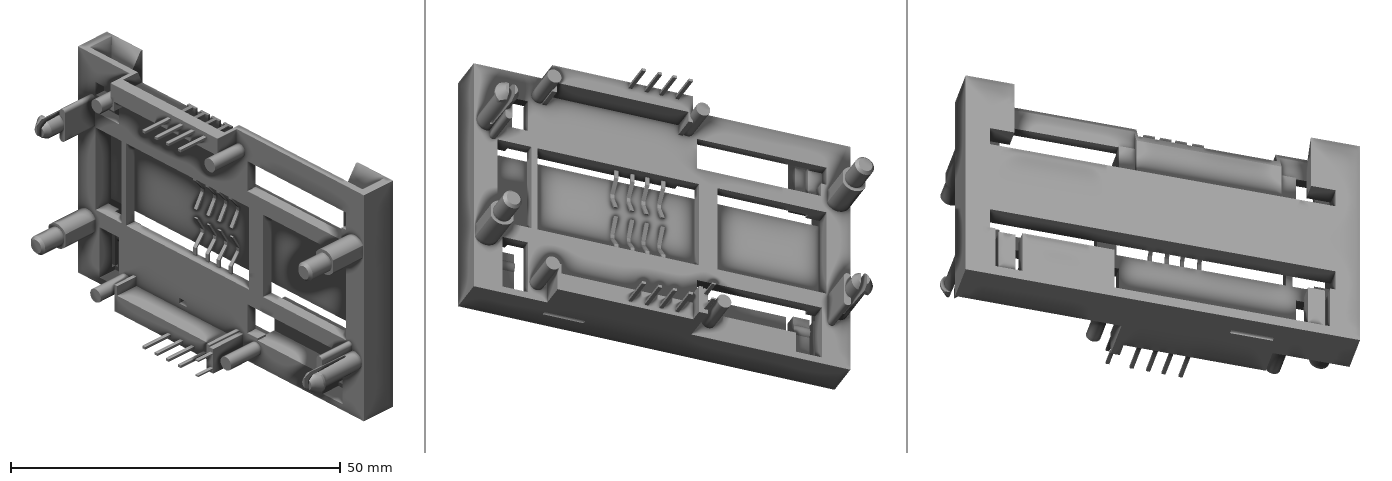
import cadquery as cq


BODY_WIDTH = 62.0
BODY_HEIGHT = 40.0
BODY_DEPTH = 6.2
TOP = BODY_HEIGHT / 2
BOTTOM = -TOP

SLOT_HALF_WIDTH = 27.2
RAIL_INNER = 24.75
PLATE_Y = 1.8
LEAD_IN_Y = 1.5
RAIL_Y = 2.7
CARD_BACK_Y = 3.35
WALL_BOTTOM = -18.2

MOUTH_HALF_WIDTH = 29.55
MOUTH_FRONT_Y = 1.1
MOUTH_BACK_Y = 5.85
FUNNEL_DEPTH = 3.75

NOTCH_HALF_WIDTH = 23.3
TAB_BOTTOM = 10.0
PANEL_HALF_HEIGHT = 6.7
LOWER_HALF_WIDTH = 26.3
BLOCK_LEFT, BLOCK_RIGHT = 7.6, 22.1
BLOCK_TOP = -10.45
BLOCK_FRONT_Y = 3.9
SILL_Z = -15.5

WINDOW_HALF_WIDTH = 27.1
MIDDLE_HALF_HEIGHT = 7.3
ROW_INNER = 10.0
ROW_OUTER = 15.3
LEFT_WINDOW_EDGE, CENTER_WINDOW_EDGE = -22.1, 5.7
THIN_BAR_LEFT, THIN_BAR_RIGHT = -21.5, -20.5
WIDE_BAR_LEFT, WIDE_BAR_RIGHT = 6.1, 9.15
STEP_X = 26.2
LEFT_STEP_Z, RIGHT_STEP_Z = 13.05, 12.25
FINGER_WINDOW_BOTTOM = -18.9
SILL_STEP_X = 7.95
SILL_STEP_Z = -15.1
SWITCH_HOLE_X = (-9.0, -7.4)
SWITCH_HOLE_Z = (-16.1, -15.2)
EXIT_LEFT, EXIT_RIGHT = -18.2, -11.5

FINGER_X = 24.3
FINGER_WIDTH = 2.7
FINGER_THICKNESS = 2.25
BUMP_TOP, BUMP_BOTTOM = -11.9, -13.6
BUMP_RISE = 0.4

CARRIER_LEFT, CARRIER_RIGHT = -19.8, 3.4
CARRIER_FRONT_Y = -4.1
CARRIER_HEIGHT = 3.0
CARRIER_LEG_WIDTH = 0.75
BACKING_INSET = 0.2
POCKET_LEFT, POCKET_RIGHT = -19.1, 2.8
POCKET_FRONT_Y = -2.05
POCKET_DEPTH = 2.2
LOWER_LEFT = -18.9
LOWER_END_WALL = 0.6
LOWER_LEG_HEIGHT = 4.65
SWITCH_RIGHT = 4.85
SWITCH_HEIGHT = 4.35

CONTACT_X = (-6.95, -4.3, -1.85, 0.75)
CONTACT_WIDTH = 0.6
CONTACT_THICKNESS = 0.3
CONTACT_BASE_Y, CONTACT_TOUCH_Y, CONTACT_TIP_Y = 1.25, 2.85, 1.4
CONTACT_BEND_Z, CONTACT_TOUCH_TOP, CONTACT_TOUCH_BOTTOM, CONTACT_TIP_Z = 5.9, 3.9, 3.3, 0.8
CONTACT_ROOT_LENGTH = 0.6
PIN_HEIGHT = 0.45
PIN_Z = 19.1
PIN_END_Y = -9.6
PIN_START_Y = 1.0
CROSSBAR_WIDTH = 1.8
CROSSBAR_DEPTH = 0.45
SWITCH_PIN_X = 4.55
SWITCH_PIN_Z = (-16.5, -19.15)
SWITCH_PIN_HEIGHT = 0.25

POST_END_Y = -6.4
PLAIN_POST_DIAMETER = 2.3
PLAIN_POSTS = ((-20.4, 16.55), (4.1, 16.55), (-20.65, -17.05), (7.6, -17.05))
PEG_X = 29.0
PEG_Z = 10.0
PEG_END_Y = -10.9
PEG_DIAMETER = 3.1
PEG_CHAMFER = 0.45
SHOULDER_DIAMETER = 4.2
SHOULDER_WIDTH = 3.7
FIN_X = 27.85
FIN_WIDTH = 1.2
FIN_HEIGHT = 5.7
SLIT_START_WIDTH, SLIT_END_WIDTH = 0.45, 1.0
SLIT_START_Y = -1.9
HOOK_REACH = 31.1
HOOK_TOP_Y, HOOK_LIP_Y, HEAD_TAPER_Y, HEAD_END_Y = -8.3, -8.65, -9.1, -10.2
HEAD_END_RADIUS = 1.0


def block(x0, x1, y0, y1, z0, z1):
    """Box spanning the given coordinate ranges."""
    return cq.Workplane("XY").box(x1 - x0, y1 - y0, z1 - z0, centered=False).translate((x0, y0, z0))


def rod(x, z, diameter, end_y):
    """Round rod from the front face of the plate to end_y."""
    return cq.Workplane("XZ", origin=(x, 0, z)).circle(diameter / 2).extrude(-end_y)


def housing():
    half = BODY_WIDTH / 2
    body = block(-half, half, 0, BODY_DEPTH, BOTTOM, TOP)
    body = body.cut(block(-SLOT_HALF_WIDTH, SLOT_HALF_WIDTH, RAIL_Y, CARD_BACK_Y, WALL_BOTTOM, TOP))
    body = body.cut(block(-RAIL_INNER, RAIL_INNER, PLATE_Y, CARD_BACK_Y, WALL_BOTTOM, TOP))
    lead_in = block(-RAIL_INNER, RAIL_INNER, LEAD_IN_Y, PLATE_Y, ROW_OUTER, TOP)
    left, right = CARRIER_LEFT + BACKING_INSET, CARRIER_RIGHT - BACKING_INSET
    backing = block(left, right, 0, RAIL_Y, MIDDLE_HALF_HEIGHT, TOP)
    return body.cut(lead_in).union(backing).cut(funnel())


def funnel():
    """Tapered mouth that leads the card into the slot."""
    return (
        cq.Workplane("XY", origin=(0, (MOUTH_FRONT_Y + MOUTH_BACK_Y) / 2, TOP))
        .rect(2 * MOUTH_HALF_WIDTH, MOUTH_BACK_Y - MOUTH_FRONT_Y)
        .workplane(offset=-FUNNEL_DEPTH)
        .center(0, (RAIL_Y + CARD_BACK_Y - MOUTH_FRONT_Y - MOUTH_BACK_Y) / 2)
        .rect(2 * SLOT_HALF_WIDTH, CARD_BACK_Y - RAIL_Y)
        .loft(ruled=True)
    )


def cut_back_wall(body):
    def opening(half_width, z0, z1):
        return block(-half_width, half_width, CARD_BACK_Y, BODY_DEPTH, z0, z1)

    body = body.cut(opening(NOTCH_HALF_WIDTH, PANEL_HALF_HEIGHT, TOP))
    body = body.cut(opening(SLOT_HALF_WIDTH, PANEL_HALF_HEIGHT, TAB_BOTTOM))
    body = body.cut(opening(SLOT_HALF_WIDTH, BLOCK_TOP, -PANEL_HALF_HEIGHT))
    body = body.cut(opening(LOWER_HALF_WIDTH, WALL_BOTTOM, BLOCK_TOP))
    body = body.union(block(BLOCK_LEFT, BLOCK_RIGHT, BLOCK_FRONT_Y, BODY_DEPTH, BOTTOM, BLOCK_TOP))
    return body.union(block(BLOCK_LEFT, BLOCK_RIGHT, 0, BLOCK_FRONT_Y, BOTTOM, SILL_Z))


def cut_windows(body):
    windows = (
        (-WINDOW_HALF_WIDTH, THIN_BAR_LEFT, -MIDDLE_HALF_HEIGHT, MIDDLE_HALF_HEIGHT),
        (THIN_BAR_RIGHT, WIDE_BAR_LEFT, -MIDDLE_HALF_HEIGHT, MIDDLE_HALF_HEIGHT),
        (WIDE_BAR_RIGHT, WINDOW_HALF_WIDTH, -MIDDLE_HALF_HEIGHT, MIDDLE_HALF_HEIGHT),
        (-STEP_X, LEFT_WINDOW_EDGE, ROW_INNER, ROW_OUTER),
        (-WINDOW_HALF_WIDTH, -STEP_X, LEFT_STEP_Z, ROW_OUTER),
        (CENTER_WINDOW_EDGE, STEP_X, ROW_INNER, ROW_OUTER),
        (STEP_X, WINDOW_HALF_WIDTH, RIGHT_STEP_Z, ROW_OUTER),
        (-LOWER_HALF_WIDTH, LEFT_WINDOW_EDGE, FINGER_WINDOW_BOTTOM, -ROW_INNER),
        (CENTER_WINDOW_EDGE, SILL_STEP_X, SILL_STEP_Z, -ROW_INNER),
        (SILL_STEP_X, BLOCK_RIGHT, SILL_Z, -ROW_INNER),
        (BLOCK_RIGHT, LOWER_HALF_WIDTH, FINGER_WINDOW_BOTTOM, -ROW_INNER),
        (*SWITCH_HOLE_X, *SWITCH_HOLE_Z),
    )
    for x0, x1, z0, z1 in windows:
        body = body.cut(block(x0, x1, 0, CARD_BACK_Y, z0, z1))
    for x0, x1 in ((-SLOT_HALF_WIDTH, -RAIL_INNER), (RAIL_INNER, SLOT_HALF_WIDTH)):
        body = body.union(block(x0, x1, PLATE_Y, RAIL_Y, ROW_INNER, ROW_OUTER))
    return body.cut(block(EXIT_LEFT, EXIT_RIGHT, RAIL_Y, CARD_BACK_Y, BOTTOM, WALL_BOTTOM))


def latch_finger(x):
    """Springy strip standing on the bottom wall, with a rounded bump near its free end."""
    bump_middle = (BUMP_TOP + BUMP_BOTTOM) / 2
    back_y = CARD_BACK_Y + FINGER_THICKNESS
    return (
        cq.Workplane("YZ", origin=(x - FINGER_WIDTH / 2, 0, 0))
        .moveTo(back_y, BOTTOM)
        .lineTo(back_y, BLOCK_TOP)
        .lineTo(CARD_BACK_Y, BLOCK_TOP)
        .lineTo(CARD_BACK_Y, BUMP_TOP)
        .threePointArc((CARD_BACK_Y - BUMP_RISE, bump_middle), (CARD_BACK_Y, BUMP_BOTTOM))
        .lineTo(CARD_BACK_Y, BOTTOM)
        .close()
        .extrude(FINGER_WIDTH)
    )


def upper_carrier():
    ledge = TOP - CARRIER_HEIGHT
    carrier = block(CARRIER_LEFT, CARRIER_RIGHT, CARRIER_FRONT_Y, 0, ledge, TOP)
    for x0 in (CARRIER_LEFT, CARRIER_RIGHT - CARRIER_LEG_WIDTH):
        carrier = carrier.union(block(x0, x0 + CARRIER_LEG_WIDTH, CARRIER_FRONT_Y, 0, ROW_OUTER, ledge))
    return carrier


def lower_carrier():
    leg_top = BOTTOM + LOWER_LEG_HEIGHT
    inner = LOWER_LEFT + LOWER_END_WALL
    wall_right = CARRIER_RIGHT + LOWER_END_WALL
    carrier = block(LOWER_LEFT, CARRIER_RIGHT, CARRIER_FRONT_Y, 0, BOTTOM, BOTTOM + CARRIER_HEIGHT)
    carrier = carrier.union(block(LOWER_LEFT, inner, CARRIER_FRONT_Y, 0, BOTTOM, leg_top))
    carrier = carrier.union(block(CARRIER_RIGHT, wall_right, POST_END_Y, 0, BOTTOM, leg_top))
    switch = block(wall_right, SWITCH_RIGHT, POST_END_Y, 0, BOTTOM, BOTTOM + SWITCH_HEIGHT)
    return carrier.union(switch)


def spring_contact(x):
    """Upper contact: bends back to touch the card, then forward to a free tip."""
    path = [
        (CONTACT_BASE_Y, MIDDLE_HALF_HEIGHT + CONTACT_ROOT_LENGTH),
        (CONTACT_BASE_Y, CONTACT_BEND_Z),
        (CONTACT_TOUCH_Y, CONTACT_TOUCH_TOP),
        (CONTACT_TOUCH_Y, CONTACT_TOUCH_BOTTOM),
        (CONTACT_TIP_Y, CONTACT_TIP_Z),
    ]
    back = [(y + CONTACT_THICKNESS, z) for y, z in reversed(path)]
    return (
        cq.Workplane("YZ", origin=(x - CONTACT_WIDTH / 2, 0, 0))
        .polyline(path + back)
        .close()
        .extrude(CONTACT_WIDTH)
    )


def solder_pin(x, z, height, start_y):
    half = CONTACT_WIDTH / 2
    return block(x - half, x + half, PIN_END_Y, start_y, z - height / 2, z + height / 2)


def crossbar(x):
    """Retaining bar of an upper contact, standing on the pocket floor."""
    half = CROSSBAR_WIDTH / 2
    y0 = PIN_START_Y - CROSSBAR_DEPTH
    return block(x - half, x + half, y0, PIN_START_Y, TOP - POCKET_DEPTH, PIN_Z + PIN_HEIGHT / 2)


def stepped_post(side):
    """Locating post: a shoulder with flat sides and a chamfered peg."""
    x, z = side * PEG_X, side * PEG_Z
    half = SHOULDER_WIDTH / 2
    shoulder = rod(x, z, SHOULDER_DIAMETER, POST_END_Y)
    shoulder = shoulder.intersect(
        block(x - half, x + half, POST_END_Y, 0, z - SHOULDER_DIAMETER, z + SHOULDER_DIAMETER)
    )
    return shoulder.union(rod(x, z, PEG_DIAMETER, PEG_END_Y).faces("<Y").chamfer(PEG_CHAMFER))


def snap_post(side):
    """Split snap-in peg with a tapered head, an outward hook and a fin on its inner side."""
    x, z = side * PEG_X, -side * PEG_Z
    radius = PEG_DIAMETER / 2
    hook_radius = HOOK_REACH - PEG_X
    peg_outline = [
        (0, 0),
        (radius, 0),
        (radius, HEAD_TAPER_Y),
        (HEAD_END_RADIUS, HEAD_END_Y),
        (0, HEAD_END_Y),
    ]
    hook_outline = [
        (0, HOOK_TOP_Y),
        (hook_radius, HOOK_TOP_Y),
        (hook_radius, HOOK_LIP_Y),
        (HEAD_END_RADIUS, HEAD_END_Y),
        (0, HEAD_END_Y),
    ]

    def turned(outline):
        profile = cq.Workplane("XY").polyline(outline).close()
        return profile.revolve(360, (0, 0, 0), (0, 1, 0)).translate((x, 0, z))

    outer_edges = sorted((x, side * HOOK_REACH))
    outer_half = block(*outer_edges, HEAD_END_Y, HOOK_TOP_Y, z - radius, z + radius)
    hook = turned(hook_outline).intersect(outer_half)
    slit = (
        cq.Workplane("XY", origin=(x, 0, z - PEG_DIAMETER))
        .polyline([
            (-SLIT_START_WIDTH / 2, SLIT_START_Y),
            (SLIT_START_WIDTH / 2, SLIT_START_Y),
            (SLIT_END_WIDTH / 2, HEAD_END_Y),
            (-SLIT_END_WIDTH / 2, HEAD_END_Y),
        ])
        .close()
        .extrude(2 * PEG_DIAMETER)
    )
    fin = (
        cq.Workplane("XZ", origin=(side * FIN_X, 0, z))
        .slot2D(FIN_HEIGHT, FIN_WIDTH, 90)
        .extrude(-POST_END_Y)
    )
    return turned(peg_outline).union(hook).cut(slit).union(fin)


part = cut_windows(cut_back_wall(housing()))

part = part.union(upper_carrier()).union(lower_carrier())
part = part.cut(block(POCKET_LEFT, POCKET_RIGHT, POCKET_FRONT_Y, RAIL_Y, TOP - POCKET_DEPTH, TOP))

for side in (-1, 1):
    part = part.union(latch_finger(side * FINGER_X))
    part = part.union(stepped_post(side))
    part = part.union(snap_post(side))

for post_x, post_z in PLAIN_POSTS:
    part = part.union(rod(post_x, post_z, PLAIN_POST_DIAMETER, POST_END_Y))

for contact_x in CONTACT_X:
    upper_contact = spring_contact(contact_x)
    part = part.union(upper_contact).union(upper_contact.mirror("XY"))
    part = part.union(solder_pin(contact_x, PIN_Z, PIN_HEIGHT, PIN_START_Y))
    part = part.union(solder_pin(contact_x, -PIN_Z, PIN_HEIGHT, 0))
    part = part.union(crossbar(contact_x))

for pin_z in SWITCH_PIN_Z:
    part = part.union(solder_pin(SWITCH_PIN_X, pin_z, SWITCH_PIN_HEIGHT, 0))

result = part